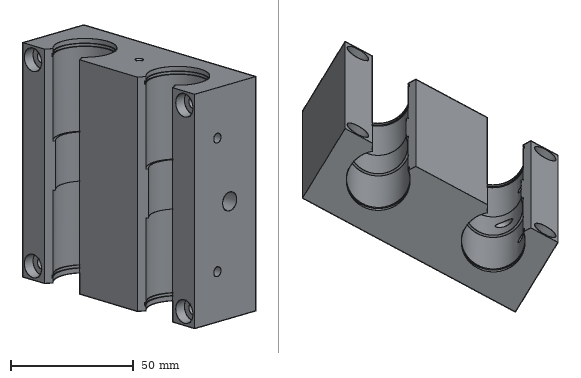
import cadquery as cq
import math

length = 100.0
depth = 35.0
height = 100.0
front_y = -depth / 2

bore_offset = 27.0
bore_axis_y = -4.5
land_radius = 12.0
bore_radius = 13.0
land_height = 21.0

groove_radius = 13.5
groove_width = 1.3
groove_inset = 2.1

mouth_half_width = 10.2
mouth_wall_angle = 30.0

mount_edge_distance = 6.0
mount_diameter = 4.9
counterbore_diameter = 10.0
counterbore_depth = 5.0

side_hole_diameter = 4.1
side_hole_z = 28.5
center_hole_diameter = 6.0
center_hole_y = 2.5
center_counterbore_diameter = 8.0
center_counterbore_depth = 10.5

top_sink_diameter = 3.3
top_sink_depth = 1.0
top_hole_diameter = 1.6
top_hole_depth = 12.0


def bore_cylinder(x, radius, z_low, z_high):
    """Cylinder on a bore axis between two heights."""
    plane = cq.Workplane("XY", origin=(x, bore_axis_y, z_low))
    return plane.circle(radius).extrude(z_high - z_low)


def mouth(x):
    """Opening that narrows from the front face to the bore axis."""
    run = bore_axis_y - front_y
    inner_half_width = mouth_half_width - run * math.tan(math.radians(mouth_wall_angle))
    outline = [
        (x - mouth_half_width, front_y),
        (x + mouth_half_width, front_y),
        (x + inner_half_width, bore_axis_y),
        (x - inner_half_width, bore_axis_y),
    ]
    return cq.Workplane("XY", origin=(0, 0, -height / 2)).polyline(outline).close().extrude(height)


def bore_cutter(x):
    """Bore with a narrower middle land, two ring grooves and the mouth."""
    cutter = bore_cylinder(x, land_radius, -height / 2, height / 2).union(mouth(x))
    groove_top = height / 2 - groove_inset
    groove_bottom = groove_top - groove_width
    for low, high, radius in (
        (land_height / 2, height / 2, bore_radius),
        (groove_bottom, groove_top, groove_radius),
    ):
        cutter = cutter.union(bore_cylinder(x, radius, low, high))
        cutter = cutter.union(bore_cylinder(x, radius, -high, -low))
    return cutter


def side_hole(y, z, diameter, hole_depth):
    """Hole along X, drilled inwards from the +X face."""
    plane = cq.Workplane("YZ", origin=(length / 2, y, z))
    return plane.circle(diameter / 2).extrude(-hole_depth)


def top_hole():
    """Blind hole with a conical entry at the centre of the top face."""
    half_profile = [
        (0, height / 2),
        (top_sink_diameter / 2, height / 2),
        (top_hole_diameter / 2, height / 2 - top_sink_depth),
        (top_hole_diameter / 2, height / 2 - top_hole_depth),
        (0, height / 2 - top_hole_depth),
    ]
    return cq.Workplane("XZ").polyline(half_profile).close().revolve(360, (0, 0), (0, 1))


result = cq.Workplane("XY").box(length, depth, height)

for bore_x in (-bore_offset, bore_offset):
    result = result.cut(bore_cutter(bore_x))

mount_spacing_x = length - 2 * mount_edge_distance
mount_spacing_z = height - 2 * mount_edge_distance
result = (
    result.copyWorkplane(cq.Workplane("XZ", origin=(0, front_y, 0)))
    .rarray(mount_spacing_x, mount_spacing_z, 2, 2)
    .cboreHole(mount_diameter, counterbore_diameter, counterbore_depth)
)

depth_to_bore_axis = length / 2 - bore_offset
for hole_z in (-side_hole_z, side_hole_z):
    result = result.cut(side_hole(bore_axis_y, hole_z, side_hole_diameter, depth_to_bore_axis))
result = result.cut(side_hole(center_hole_y, 0, center_hole_diameter, depth_to_bore_axis))
result = result.cut(side_hole(center_hole_y, 0, center_counterbore_diameter, center_counterbore_depth))

result = result.cut(top_hole())